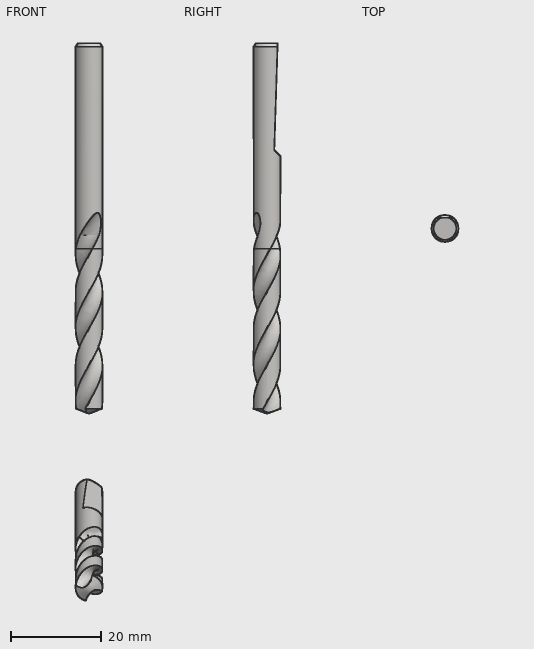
import cadquery as cq
import math

length = 82.0
diameter = 6.0
radius = diameter / 2
joint_height = 36.5

chamfer_width = 0.5
chamfer_height = 0.8
flat_angle = 1.8
flat_top_offset = 2.4
flat_bottom_height = 58.4
flat_ramp_angle = 45.0

point_angle = 140.0
helix_angle = 30.0
flute_count = 2
core_radius = 0.9
flute_edge_angle = 45.0
flute_start_angle = 16.0
helix_top_height = 39.5
run_out_angle = 12.0
point_clearance = 0.8

point_height = radius / math.tan(math.radians(point_angle / 2))
pitch = math.pi * diameter / math.tan(math.radians(helix_angle))

edge_x = radius * math.cos(math.radians(flute_edge_angle))
flute_center = (radius**2 - core_radius**2) / (2 * (edge_x - core_radius))
flute_radius = flute_center - core_radius


def flute_section(height):
    """Circular section of a flute on the +X side."""
    return cq.Workplane("XY", origin=(0, 0, height)).pushPoints([(flute_center, 0)]).circle(flute_radius)


def turned(body, angle):
    """Body turned about the drill axis."""
    return body.rotate((0, 0, 0), (0, 0, 1), angle)


def helical_flute(bottom, top):
    """Twisted cutter for the constant-depth part of a flute between two heights."""
    height = top - bottom
    cutter = flute_section(bottom).twistExtrude(height, 360 * height / pitch)
    return turned(cutter, 360 * bottom / pitch)


def flute_run_out():
    """Straight cutter that follows the tangent of the helix while it leans out of the shank."""
    height = 2 * diameter
    outward = height * math.tan(math.radians(run_out_angle))
    along = height * 2 * math.pi * flute_center / pitch
    section = flute_section(helix_top_height).wire().val()
    cutter = cq.Workplane(cq.Solid.extrudeLinear(section, [], cq.Vector(outward, along, height)))
    return turned(cutter, 360 * helix_top_height / pitch)


def cut_flutes(body, cutter):
    """Cut the body with one copy of the cutter for each flute."""
    for index in range(flute_count):
        body = body.cut(turned(cutter, flute_start_angle + index * 360 / flute_count))
    return body


def clamping_flat():
    """Cutter for the inclined flat and the ramp at its lower end."""
    flat_length = length - flat_bottom_height
    bottom_offset = flat_top_offset - flat_length * math.tan(math.radians(flat_angle))
    outside = diameter
    ramp_drop = (outside - bottom_offset) * math.tan(math.radians(flat_ramp_angle))
    return (
        cq.Workplane("YZ")
        .moveTo(flat_top_offset, length)
        .lineTo(bottom_offset, flat_bottom_height)
        .lineTo(outside, flat_bottom_height - ramp_drop)
        .lineTo(outside, length)
        .close()
        .extrude(radius, both=True)
    )


def make_shank():
    blank = (
        cq.Workplane("XZ")
        .moveTo(0, joint_height)
        .lineTo(radius, joint_height)
        .lineTo(radius, length - chamfer_height)
        .lineTo(radius - chamfer_width, length)
        .lineTo(0, length)
        .close()
        .revolve(360, (0, 0), (0, 1))
    )
    shank = cut_flutes(blank.cut(clamping_flat()), helical_flute(joint_height, helix_top_height))
    return cut_flutes(shank, flute_run_out())


def make_cutting_end():
    blank = (
        cq.Workplane("XZ")
        .lineTo(radius, point_height)
        .lineTo(radius, joint_height)
        .lineTo(0, joint_height)
        .close()
        .revolve(360, (0, 0), (0, 1))
    )
    return cut_flutes(blank, helical_flute(-point_clearance, joint_height))


shank_body = make_shank()
cutting_end = make_cutting_end()

result = cq.Compound.makeCompound([shank_body.val(), cutting_end.val()])